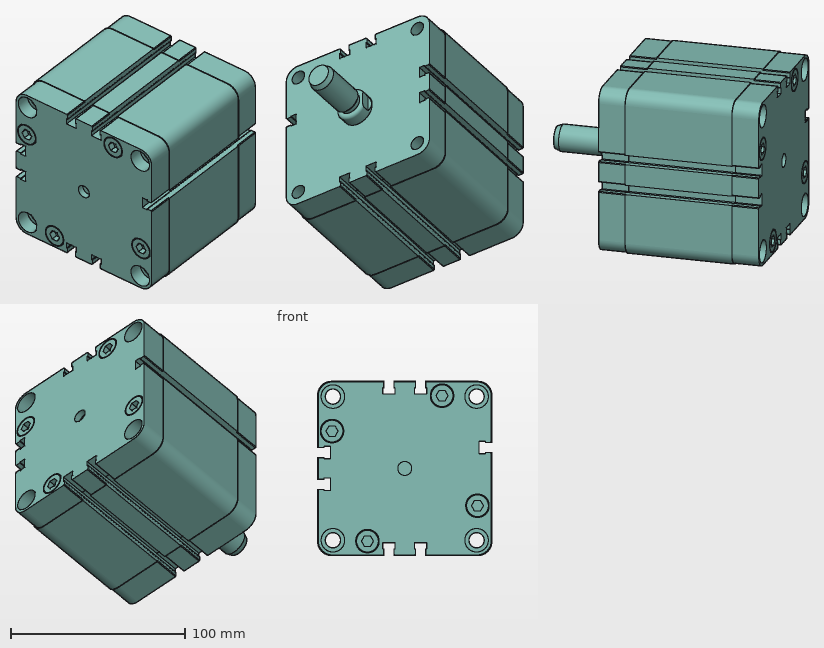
import cadquery as cq
import math

TUBE_SIDE = 100.0
TUBE_LENGTH = 64.0
CAP_INSET = 0.4
CAP_SIDE = TUBE_SIDE - 2 * CAP_INSET
CAP_LENGTH = 16.0
CORNER_RADIUS = 8.0
BODY_LENGTH = TUBE_LENGTH + 2 * CAP_LENGTH

SLOT_OFFSET = 9.1
SINGLE_SLOT_OFFSET = 12.0
SLOT_OPENING = 5.7
SLOT_WIDTH = 7.0
SLOT_LIP = 3.8
CAP_SLOT_DEPTH = 7.3
TUBE_SLOT_DEPTH = 7.5
SLOT_EDGE_BREAK = 0.5

MOUNT_OFFSET = 41.2
MOUNT_DIAMETER = 8.57
COUNTERBORE_DIAMETER = 13.5
COUNTERBORE_DEPTH = 8.5

SCREW_OFFSET_LONG = 41.7
SCREW_OFFSET_SHORT = 21.4
SCREW_HEAD_DIAMETER = 12.5
SCREW_RECESS_DIAMETER = 13.5
SCREW_RECESS_DEPTH = 8.0
SOCKET_ACROSS_FLATS = 6.0
SOCKET_DEPTH = 4.0

CENTRE_HOLE_DIAMETER = 8.0
CENTRE_HOLE_DEPTH = 4.0

COLLAR_DIAMETER = 20.0
COLLAR_HEIGHT = 8.0
COLLAR_EDGE_RADIUS = 2.0
WRENCH_ACROSS_FLATS = 17.0
WRENCH_FLAT_START = 2.2
NECK_DIAMETER = 13.5
THREAD_DIAMETER = 16.0
THREAD_START = 11.6
THREAD_TAPER_LENGTH = 0.7
ROD_LENGTH = 40.0
TIP_DIAMETER = 13.5
TIP_TAPER_LENGTH = 3.4


def square_block(side, start, length):
    """Square bar along Y with rounded long edges."""
    block = cq.Workplane("XY").box(side, length, side).edges("|Y").fillet(CORNER_RADIUS)
    return block.translate((0, start + length / 2, 0))


def y_cylinder(x, z, diameter, start, length):
    """Cylinder along +Y."""
    return cq.Workplane(cq.Solid.makeCylinder(
        diameter / 2, length, cq.Vector(x, start, z), cq.Vector(0, 1, 0)))


def slot_cutter(side, floor, offset, start, length, edge_break):
    """T-slot cutter along Y for the +Z face of a bar, with optional bevelled lips."""
    face = side / 2
    lip_end = TUBE_SIDE / 2 - SLOT_LIP
    half_opening = SLOT_OPENING / 2
    half_width = SLOT_WIDTH / 2
    right_side = [
        (half_width, floor),
        (half_width, lip_end),
        (half_opening, lip_end),
    ]
    if edge_break:
        right_side.append((half_opening, face - edge_break))
    right_side.append((half_opening + edge_break, face))
    left_side = [(-x, z) for x, z in reversed(right_side)]
    outline = [(offset + x, z) for x, z in right_side + left_side]
    return cq.Workplane("XZ", origin=(0, start + length, 0)).polyline(outline).close().extrude(length)


def body_section(side, slot_floor, start, length, edge_break):
    """One slotted length of the body."""
    section = square_block(side, start, length)
    slots = [
        (0, -SLOT_OFFSET),
        (0, SLOT_OFFSET),
        (180, -SLOT_OFFSET),
        (180, SLOT_OFFSET),
        (-90, -SLOT_OFFSET),
        (-90, SLOT_OFFSET),
        (90, -SINGLE_SLOT_OFFSET),
    ]
    for turn, offset in slots:
        cutter = slot_cutter(side, slot_floor, offset, start, length, edge_break)
        section = section.cut(cutter.rotate((0, 0, 0), (0, 1, 0), turn))
    return section


def body():
    cap_floor = TUBE_SIDE / 2 - CAP_SLOT_DEPTH
    tube_floor = TUBE_SIDE / 2 - TUBE_SLOT_DEPTH
    rear_cap_start = CAP_LENGTH + TUBE_LENGTH
    front_cap = body_section(CAP_SIDE, cap_floor, 0, CAP_LENGTH, SLOT_EDGE_BREAK)
    tube = body_section(TUBE_SIDE, tube_floor, CAP_LENGTH, TUBE_LENGTH, 0)
    rear_cap = body_section(CAP_SIDE, cap_floor, rear_cap_start, CAP_LENGTH, SLOT_EDGE_BREAK)
    return front_cap.union(tube).union(rear_cap)


def cut_mounting_holes(part):
    for x in (-MOUNT_OFFSET, MOUNT_OFFSET):
        for z in (-MOUNT_OFFSET, MOUNT_OFFSET):
            part = part.cut(y_cylinder(x, z, MOUNT_DIAMETER, 0, BODY_LENGTH))
            part = part.cut(y_cylinder(x, z, COUNTERBORE_DIAMETER, 0, COUNTERBORE_DEPTH))
    return part


def fit_cap_screws(part):
    """Sunk socket-head screws, flush with the front face, each a quarter turn from the last."""
    positions = [
        (SCREW_OFFSET_SHORT, SCREW_OFFSET_LONG),
        (SCREW_OFFSET_LONG, -SCREW_OFFSET_SHORT),
        (-SCREW_OFFSET_SHORT, -SCREW_OFFSET_LONG),
        (-SCREW_OFFSET_LONG, SCREW_OFFSET_SHORT),
    ]
    socket_across_corners = SOCKET_ACROSS_FLATS / math.cos(math.pi / 6)
    for x, z in positions:
        recess = y_cylinder(x, z, SCREW_RECESS_DIAMETER, 0, SCREW_RECESS_DEPTH)
        head = y_cylinder(x, z, SCREW_HEAD_DIAMETER, 0, SCREW_RECESS_DEPTH)
        socket = (
            cq.Workplane("XZ")
            .center(x, z)
            .polygon(6, socket_across_corners)
            .extrude(-SOCKET_DEPTH)
        )
        part = part.cut(recess.cut(head)).cut(socket)
    return part


def collar():
    """Rod collar with a rounded end and two wrench flats that run out at 45 degrees."""
    shape = y_cylinder(0, 0, COLLAR_DIAMETER, BODY_LENGTH, COLLAR_HEIGHT)
    shape = shape.faces(">Y").edges().fillet(COLLAR_EDGE_RADIUS)
    half_flats = WRENCH_ACROSS_FLATS / 2
    run_out = COLLAR_DIAMETER / 2 - half_flats
    flat_start = BODY_LENGTH + WRENCH_FLAT_START
    collar_end = BODY_LENGTH + COLLAR_HEIGHT
    flat = (
        cq.Workplane("XY")
        .moveTo(half_flats, collar_end)
        .lineTo(half_flats, flat_start)
        .lineTo(half_flats + run_out, flat_start - run_out)
        .lineTo(half_flats + run_out, collar_end)
        .close()
        .extrude(COLLAR_DIAMETER / 2, both=True)
    )
    return shape.cut(flat).cut(flat.mirror("YZ"))


def threaded_rod():
    """Turned neck and thread with tapered ends."""
    neck_radius = NECK_DIAMETER / 2
    thread_radius = THREAD_DIAMETER / 2
    profile = (
        cq.Workplane("XY", origin=(0, BODY_LENGTH, 0))
        .moveTo(0, 0)
        .lineTo(neck_radius, 0)
        .lineTo(neck_radius, THREAD_START - THREAD_TAPER_LENGTH)
        .lineTo(thread_radius, THREAD_START)
        .lineTo(thread_radius, ROD_LENGTH - TIP_TAPER_LENGTH)
        .lineTo(TIP_DIAMETER / 2, ROD_LENGTH)
        .lineTo(0, ROD_LENGTH)
        .close()
    )
    return profile.revolve(360, (0, 0, 0), (0, 1, 0))


centre_hole = y_cylinder(0, 0, CENTRE_HOLE_DIAMETER, 0, CENTRE_HOLE_DEPTH)

result = fit_cap_screws(cut_mounting_holes(body()))
result = result.cut(centre_hole).union(collar()).union(threaded_rod())